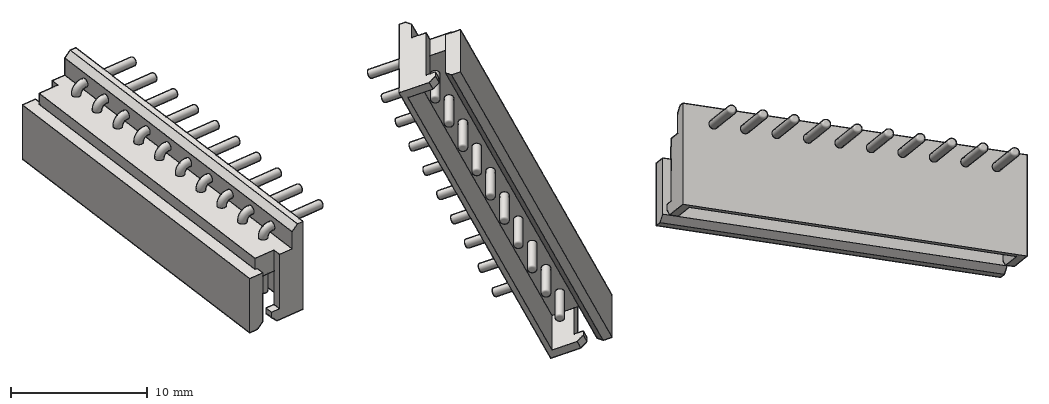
import cadquery as cq

length = 27.4
depth = 4.9
height = 7.9
edge_chamfer = 0.5

front_wall_thickness = 1.2
front_wall_height = 4.88

ridge_thickness = 1.01
shoulder_height = 5.85
end_wall_front = 2.75
end_wall_thickness = 0.68
lip_front = 2.0
lip_height = 1.0

bridge_front = 1.01
bridge_bottom = 3.97

back_wall_thickness = 0.4

pin_count = 10
end_pin_offset = 2.45
pin_diameter = 0.7
pin_height = 6.58
pin_bend_radius = 0.65
pin_tail_end = 8.4
pin_tip_rounding = 0.16

inner_length = length - 2 * end_wall_thickness
cavity_back = depth - back_wall_thickness
ridge_front = depth - ridge_thickness


def extrude_along_x(points, start, distance):
    """Extrude a closed (Y, Z) outline along X."""
    return cq.Workplane("YZ", origin=(start, 0, 0)).polyline(points).close().extrude(distance)


def inner_block(y_start, y_end, z_start, z_end):
    """Block filling the length between the two end walls."""
    return extrude_along_x(
        [(y_start, z_start), (y_end, z_start), (y_end, z_end), (y_start, z_end)],
        end_wall_thickness,
        inner_length,
    )


def make_back_body():
    outline = [
        (depth, 0),
        (depth, height),
        (ridge_front + edge_chamfer, height),
        (ridge_front, height - edge_chamfer),
        (ridge_front, shoulder_height),
        (end_wall_front, shoulder_height),
        (end_wall_front, lip_height),
        (lip_front, lip_height),
        (lip_front, edge_chamfer),
        (lip_front + edge_chamfer, 0),
    ]
    return extrude_along_x(outline, 0, length)


def make_front_wall():
    outline = [
        (0, 0),
        (0, front_wall_height),
        (front_wall_thickness, front_wall_height),
        (front_wall_thickness, edge_chamfer),
        (front_wall_thickness - edge_chamfer, 0),
    ]
    return extrude_along_x(outline, 0, length)


def make_housing():
    cavity = inner_block(lip_front, cavity_back, 0, bridge_bottom)
    bridge = inner_block(bridge_front, end_wall_front, bridge_bottom, shoulder_height)
    return make_back_body().cut(cavity).union(make_front_wall()).union(bridge)


def make_pin(x):
    """Pin with a horizontal tail to the rear, bent down through the bridge into the cavity."""
    axis_y = end_wall_front + pin_diameter / 2
    bend_start_y = axis_y + pin_bend_radius
    bend_end_z = pin_height - pin_bend_radius
    tail = (
        cq.Workplane("XZ", origin=(x, bend_start_y, pin_height))
        .circle(pin_diameter / 2)
        .extrude(bend_start_y - pin_tail_end)
        .faces(">Y")
        .edges()
        .fillet(pin_tip_rounding)
    )
    bend = (
        cq.Workplane("XZ", origin=(x, bend_start_y, pin_height))
        .circle(pin_diameter / 2)
        .revolve(90, (0, -pin_bend_radius, 0), (1, -pin_bend_radius, 0))
    )
    contact = (
        cq.Workplane("XY", origin=(x, axis_y, bend_end_z))
        .circle(pin_diameter / 2)
        .extrude(lip_height - bend_end_z)
        .faces("<Z")
        .edges()
        .fillet(pin_tip_rounding)
    )
    return tail.union(bend).union(contact)


result = make_housing()
pin_pitch = (length - 2 * end_pin_offset) / (pin_count - 1)
for index in range(pin_count):
    result = result.union(make_pin(end_pin_offset + index * pin_pitch))